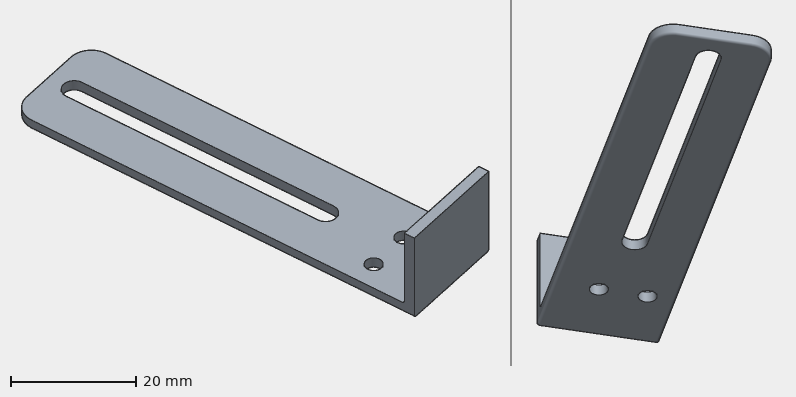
import cadquery as cq

length = 80.0
width = 20.0
height = 17.0
thickness = 2.0

corner_radius = 4.0
bend_radius = 0.5
bottom_radius = 0.5

slot_start = 3.0
slot_length = 54.1
slot_width = 4.2

hole_diameter = 3.0
hole_spacing = 8.0
hole_x = 68.5
hole_pair_y = -1.4


def bracket_body():
    """Base plate with rounded free corners and an upright flange at the other end."""
    body = (
        cq.Workplane("XZ")
        .moveTo(0, 0)
        .lineTo(length, 0)
        .lineTo(length, height)
        .lineTo(length - thickness, height)
        .lineTo(length - thickness, thickness)
        .lineTo(0, thickness)
        .close()
        .extrude(width / 2, both=True)
    )
    body = body.edges("|Z and <X").fillet(corner_radius)
    inner_corner = cq.selectors.NearestToPointSelector((length - thickness, 0, thickness))
    body = body.edges("|Y").edges(inner_corner).fillet(bend_radius)
    return body.faces("<Z").edges("not >X").fillet(bottom_radius)


def slot_cutter():
    return (
        cq.Workplane("XY")
        .center(slot_start + slot_length / 2, 0)
        .slot2D(slot_length, slot_width)
        .extrude(thickness)
    )


def hole_cutters():
    return (
        cq.Workplane("XY")
        .center(hole_x, hole_pair_y)
        .rarray(0.8, hole_spacing, 1, 2)
        .circle(hole_diameter / 2)
        .extrude(thickness)
    )


result = bracket_body().cut(slot_cutter()).cut(hole_cutters())